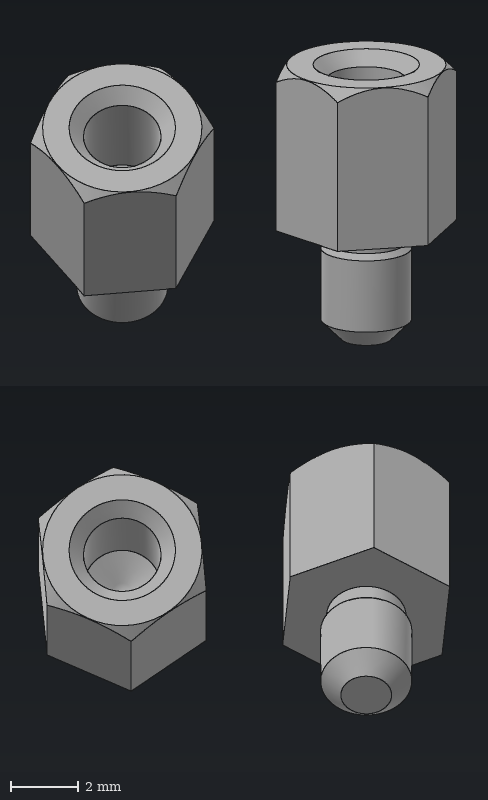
import cadquery as cq
import math

total_height = 8.5
hex_height = 5.0
across_flats = 4.75
across_corners = across_flats / math.cos(math.radians(30))

top_face_diameter = 4.73
chamfer_depth = (across_corners - top_face_diameter) / 2

neck_diameter = 2.36
neck_length = 0.51
stud_diameter = 2.71
tip_diameter = 1.505

hole_diameter = 2.295
hole_depth = 3.4
countersink_diameter = 3.15
drill_tip_angle = 118.0

stud_end_z = hex_height - total_height


def revolve_profile(points):
    """Revolve a closed outline of (radius, z) points around the Z axis."""
    return cq.Workplane("XZ").polyline(points).close().revolve(360, (0, 0), (0, 1))


def make_hex_body():
    prism = cq.Workplane("XY").polygon(6, across_corners).extrude(hex_height)
    corner_radius = across_corners / 2
    clearance = 0.085
    envelope = revolve_profile([
        (0, 0),
        (corner_radius + clearance, 0),
        (corner_radius + clearance, hex_height - chamfer_depth - clearance),
        (top_face_diameter / 2, hex_height),
        (0, hex_height),
    ])
    return prism.intersect(envelope)


def make_stud():
    neck_radius = neck_diameter / 2
    stud_radius = stud_diameter / 2
    tip_radius = tip_diameter / 2
    shoulder_z = -neck_length - (stud_radius - neck_radius)
    tip_chamfer = stud_radius - tip_radius
    return revolve_profile([
        (0, 0),
        (neck_radius, 0),
        (neck_radius, -neck_length),
        (stud_radius, shoulder_z),
        (stud_radius, stud_end_z + tip_chamfer),
        (tip_radius, stud_end_z),
        (0, stud_end_z),
    ])


def make_hole():
    hole_radius = hole_diameter / 2
    countersink_radius = countersink_diameter / 2
    countersink_depth = countersink_radius - hole_radius
    hole_floor_z = hex_height - hole_depth
    drill_tip_depth = hole_radius / math.tan(math.radians(drill_tip_angle / 2))
    return revolve_profile([
        (0, hex_height),
        (countersink_radius, hex_height),
        (hole_radius, hex_height - countersink_depth),
        (hole_radius, hole_floor_z),
        (0, hole_floor_z - drill_tip_depth),
    ])


result = make_hex_body().union(make_stud()).cut(make_hole())